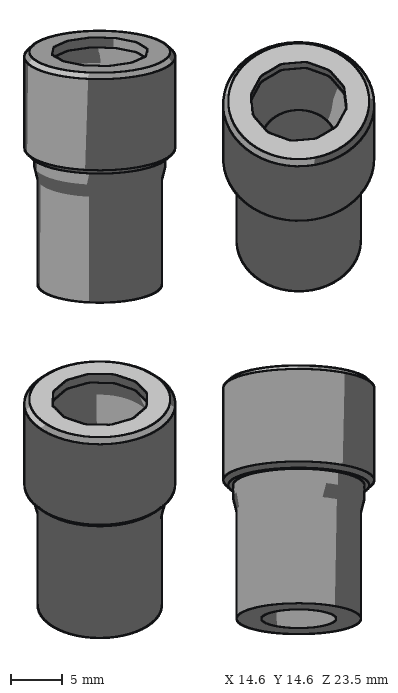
import cadquery as cq
import math

total_length = 23.5
head_diameter = 14.6
head_length = 10.2
head_chamfer = 0.5
collar_diameter = 12.7
collar_length = 1.3
taper_length = 1.35
tube_diameter = 12.03

mouth_sides = 12
mouth_across_flats = 9.07
mouth_depth = 1.0
mouth_corner_radius = 1.05

chamber_top_diameter = 10.35
chamber_bottom_diameter = 10.1
chamber_floor_depth = 2.73
funnel_end_depth = 6.67
bore_diameter = 7.21

head_bottom = total_length - head_length
collar_bottom = head_bottom - collar_length
taper_bottom = collar_bottom - taper_length
mouth_bottom = total_length - mouth_depth
chamber_bottom = total_length - chamber_floor_depth
funnel_bottom = total_length - funnel_end_depth


def revolved(profile):
    """Turn a closed (radius, height) outline about the Z axis."""
    return cq.Workplane("XZ").polyline(profile).close().revolve(360, (0, 0, 0), (0, 1, 0))


def make_body():
    """Chamfered head above a collar that tapers down to the tube."""
    head_radius = head_diameter / 2
    collar_radius = collar_diameter / 2
    tube_radius = tube_diameter / 2
    return revolved([
        (0, 0),
        (tube_radius, 0),
        (tube_radius, taper_bottom),
        (collar_radius, collar_bottom),
        (collar_radius, head_bottom),
        (head_radius - head_chamfer, head_bottom),
        (head_radius, head_bottom + head_chamfer),
        (head_radius, total_length - head_chamfer),
        (head_radius - head_chamfer, total_length),
        (0, total_length),
    ])


def make_mouth():
    """Twelve-sided opening with corners on the X and Y axes."""
    across_corners = mouth_across_flats / math.cos(math.pi / mouth_sides)
    return (
        cq.Workplane("XY", origin=(0, 0, mouth_bottom))
        .polygon(mouth_sides, across_corners)
        .extrude(mouth_depth)
        .edges("|Z")
        .fillet(mouth_corner_radius)
    )


def make_passage():
    """Chamber below the mouth, narrowing through a funnel to the bore."""
    return revolved([
        (0, 0),
        (bore_diameter / 2, 0),
        (bore_diameter / 2, funnel_bottom),
        (chamber_bottom_diameter / 2, chamber_bottom),
        (chamber_top_diameter / 2, mouth_bottom),
        (0, mouth_bottom),
    ])


result = make_body().cut(make_mouth()).cut(make_passage())